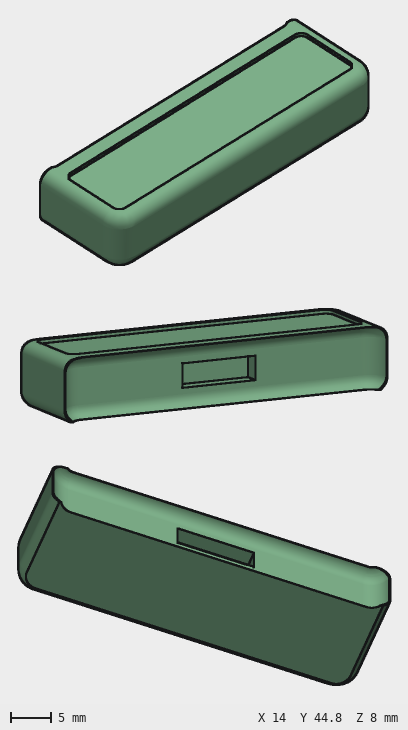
import cadquery as cq
import math

length = 14.0
width = 44.8
height = 8.0

corner_radius = 2.8
edge_radius = 1.6

bevel_angle = 45.0
bevel_height = edge_radius * (1 - math.sin(math.radians(bevel_angle)))
bevel_top_inset = edge_radius * (1 - math.cos(math.radians(bevel_angle)))
bevel_foot_inset = bevel_top_inset + bevel_height * math.tan(math.radians(bevel_angle))

hollow_depth = 1.9

recess_start = 2.4
recess_end = 12.05
recess_margin = 1.93
recess_radius = 1.08
recess_depth = 0.5

slot_width = 10.12
slot_height = 3.1
slot_bottom = 2.45
slot_depth = 2.0


def rounded_block(end_x):
    """Full-width block, rounded all round, with its +X face at end_x."""
    block_length = 2 * length
    center_x = end_x - block_length / 2
    block = (
        cq.Workplane("XY")
        .center(center_x, 0)
        .rect(block_length, width)
        .extrude(height)
        .edges("|Z")
        .fillet(corner_radius)
        .faces("<Z or >Z")
        .edges()
        .fillet(edge_radius)
    )
    foot = (
        cq.Workplane("XY")
        .center(center_x, 0)
        .sketch()
        .rect(block_length - 2 * bevel_foot_inset, width - 2 * bevel_foot_inset)
        .vertices()
        .fillet(corner_radius - bevel_foot_inset)
        .finalize()
        .extrude(bevel_height, taper=-bevel_angle)
    )
    return block.union(foot)


def top_recess():
    """Rounded rectangular pocket cut down from the top face."""
    return (
        cq.Workplane("XY", origin=((recess_start + recess_end) / 2, 0, height - recess_depth))
        .rect(recess_end - recess_start, width - 2 * recess_margin)
        .extrude(recess_depth)
        .edges("|Z")
        .fillet(recess_radius)
    )


def end_slot():
    """Blind slot running in +X from the floor of the hollow."""
    return cq.Workplane("XY", origin=(0, 0, slot_bottom)).box(
        hollow_depth + slot_depth, slot_width, slot_height, centered=(False, True, False)
    )


open_end_limit = cq.Workplane("XY").box(length, width, height, centered=(False, True, False))

result = (
    rounded_block(length)
    .intersect(open_end_limit)
    .cut(rounded_block(hollow_depth))
    .cut(top_recess())
    .cut(end_slot())
)